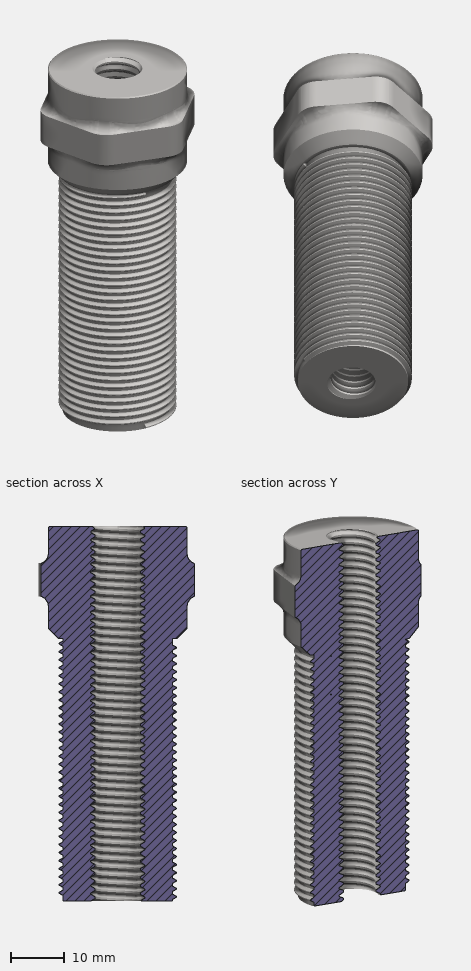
import cadquery as cq
import math

TOTAL_HEIGHT = 70.0
SHOULDER_Z = 49.0
HEAD_RADIUS = 13.0
SHOULDER_CHAMFER = 2.0
RIM_CHAMFER = 0.2

HEX_FLATS = 27.0
HEX_CORNER_RADIUS = 4.2
HEX_MIDDLE_Z = 60.0
HEX_HEIGHT = 6.2
HEX_CORNER_ANGLE = 20.0
HEX_FILLET = 1.85
SIDES = 6
SECTOR_ANGLE = 360.0 / SIDES

COLLAR_INNER_RADIUS = 6.0
COLLAR_MARGIN = 0.2
COLLAR_HALF_HEIGHT = HEX_HEIGHT / 2 + HEX_FILLET + COLLAR_MARGIN
COLLAR_LOW_Z = HEX_MIDDLE_Z - COLLAR_HALF_HEIGHT
COLLAR_HIGH_Z = HEX_MIDDLE_Z + COLLAR_HALF_HEIGHT
CORNER_SECTIONS = 5
FLAT_SECTIONS = 11
BULGE_DEPTH = 1.0
JOIN_TOLERANCE = 1e-4

PITCH = 1.5
THREAD_CREST_WIDTH = PITCH / 8
FLANK_HALF_ANGLE = 30.0
THREAD_OVERLAP = 0.3

SHANK_MAJOR_RADIUS = 11.0
SHANK_CORE_RADIUS = 10.3
SHANK_THREAD_FIRST_Z = 0.5
SHANK_TURNS = 32

BORE_RADIUS = 4.188
BORE_MAJOR_RADIUS = 5.0
BORE_CHAMFER_RADIUS = 4.65
BORE_THREAD_LAST_Z = 70.1
BORE_THREAD_LAST_ANGLE = 180.0

SHANK_TOP_Z = SHANK_TURNS * PITCH
SAMPLE_PITCHES = 3
HEAD_BORE_PITCHES = 13
BORE_TOP_Z = SHANK_TOP_Z + HEAD_BORE_PITCHES * PITCH

ORIGIN = cq.Vector(0, 0, 0)
Z_AXIS = cq.Vector(0, 0, 1)


def sew(faces):
    """Closed solid from faces that share their edges."""
    return cq.Solid.makeSolid(cq.Shell.makeShell(faces)).fix()


def is_level_at(face, heights):
    """True for a horizontal flat face lying at one of the heights."""
    if face.geomType() != "PLANE" or abs(face.normalAt().z) < 0.5:
        return False
    return any(abs(face.Center().z - height) < JOIN_TOLERANCE for height in heights)


def faces_without_ends(shape, *heights):
    """Faces of a piece, leaving out the cut faces where it meets its neighbours."""
    return [face for face in shape.Faces() if not is_level_at(face, heights)]


def is_bore_face(face):
    """True for a face of the bore or its thread."""
    return all(math.hypot(v.X, v.Y) < COLLAR_INNER_RADIUS for v in face.Vertices())


def between(z_low, z_high):
    """Slab of space between two heights, wider than the part."""
    slab = cq.Workplane("XY", origin=(0, 0, z_low)).circle(2 * HEAD_RADIUS).extrude(z_high - z_low)
    return slab.val()


def turned(points):
    """Solid of revolution about Z from (radius, z) points."""
    return cq.Workplane("XZ").polyline(points).close().revolve(360, (0, 0, 0), (0, 1, 0)).val()



def thread_turn(root_radius, tip_radius, first_z):
    """One turn of a trapezoidal helical ridge starting on the +X side."""
    buried_radius = root_radius - THREAD_OVERLAP
    half_tip = THREAD_CREST_WIDTH / 2
    half_root = half_tip + (tip_radius - root_radius) * math.tan(math.radians(FLANK_HALF_ANGLE))
    corners = [
        (buried_radius, -half_root),
        (root_radius, -half_root),
        (tip_radius, -half_tip),
        (tip_radius, half_tip),
        (root_radius, half_root),
        (buried_radius, half_root),
    ]
    helices = [
        cq.Wire.makeHelix(PITCH, PITCH, radius, center=cq.Vector(0, 0, first_z + height))
        for radius, height in corners
    ]
    faces = [cq.Face.makeRuledSurface(helices[i - 1], helices[i]) for i in range(len(helices))]
    for end_z in (first_z, first_z + PITCH):
        outline = [cq.Vector(radius, 0, end_z + height) for radius, height in corners]
        faces.append(cq.Face.makeFromWires(cq.Wire.makePolygon(outline, close=True)))
    return sew(faces)


def shank_turns(first, count):
    """Turns of the shank thread, numbered from the bottom."""
    turn = thread_turn(SHANK_CORE_RADIUS, SHANK_MAJOR_RADIUS, SHANK_THREAD_FIRST_Z)
    return [turn.translate(Z_AXIS * (PITCH * i)) for i in range(first, first + count)]


def bore_turns(z_low, z_high):
    """Turns of the bore's thread groove that cover the given heights."""
    turn = thread_turn(BORE_RADIUS, BORE_MAJOR_RADIUS, BORE_THREAD_LAST_Z - PITCH)
    turn = turn.rotate(ORIGIN, Z_AXIS, BORE_THREAD_LAST_ANGLE)
    first = max(math.floor((BORE_THREAD_LAST_Z - z_high) / PITCH) - 1, 0)
    last = math.ceil((BORE_THREAD_LAST_Z - z_low) / PITCH) + 1
    return [turn.translate(Z_AXIS * (-PITCH * i)) for i in range(first, last)]


def make_shank_sample():
    """Lowest stretch of the threaded shank with the threaded bore through it."""
    height = SAMPLE_PITCHES * PITCH
    tube = cq.Workplane("XY").circle(SHANK_CORE_RADIUS).circle(BORE_RADIUS).extrude(height).val()
    return tube.cut(*bore_turns(0, height)).fuse(*shank_turns(0, SAMPLE_PITCHES))



CORNER_CENTER_RADIUS = (HEX_FLATS / 2 - HEX_CORNER_RADIUS) / math.cos(math.radians(SECTOR_ANGLE / 2))


def corner_point(angle):
    """Point on the hexagon's corner arc that is centred on the X axis."""
    return (
        CORNER_CENTER_RADIUS + HEX_CORNER_RADIUS * math.cos(angle),
        HEX_CORNER_RADIUS * math.sin(angle),
    )


def spread(first, last, count):
    """Evenly spaced values from first to last."""
    return [first + (last - first) * i / (count - 1) for i in range(count)]


def collar_section(x, y):
    """Radial cross-section of the collar whose hexagon wall passes through (x, y).

    Above and below the wall, a fillet tangent to the head cylinder ends on the wall's rim.
    """
    wall_radius = math.hypot(x, y)
    half_height = HEX_HEIGHT / 2
    overhang = min(wall_radius - HEAD_RADIUS, HEX_FILLET)
    fillet_height = math.sqrt(HEX_FILLET**2 - (HEX_FILLET - overhang)**2)
    middle_angle = math.asin(fillet_height / HEX_FILLET) / 2
    middle_radius = HEAD_RADIUS + HEX_FILLET * (1 - math.cos(middle_angle))
    middle_height = half_height + fillet_height - HEX_FILLET * math.sin(middle_angle)

    def place(radius, z):
        return cq.Vector(radius * x / wall_radius, radius * y / wall_radius, z)

    def half_outline(side, end_z):
        """Edges from the inner wall to the hexagon wall; side is +1 above it and -1 below."""
        outer = place(HEAD_RADIUS, end_z)
        arc_start = place(HEAD_RADIUS, HEX_MIDDLE_Z + side * (half_height + fillet_height))
        arc_middle = place(middle_radius, HEX_MIDDLE_Z + side * middle_height)
        arc_end = place(wall_radius, HEX_MIDDLE_Z + side * half_height)
        return [
            cq.Edge.makeLine(place(COLLAR_INNER_RADIUS, end_z), outer),
            cq.Edge.makeLine(outer, arc_start),
            cq.Edge.makeThreePointArc(arc_start, arc_middle, arc_end),
        ]

    def upright(radius, z_low, z_high):
        return cq.Edge.makeLine(place(radius, z_low), place(radius, z_high))

    hex_wall = upright(wall_radius, HEX_MIDDLE_Z - half_height, HEX_MIDDLE_Z + half_height)
    inner_wall = upright(COLLAR_INNER_RADIUS, COLLAR_LOW_Z, COLLAR_HIGH_Z)
    upper = half_outline(1, COLLAR_HIGH_Z)
    lower = half_outline(-1, COLLAR_LOW_Z)
    return cq.Wire.assembleEdges(upper + [hex_wall] + lower + [inner_wall])


def loft_sections(points):
    """Piece of the collar whose hexagon wall passes through the points."""
    return cq.Solid.makeLoft([collar_section(x, y) for x, y in points])


def make_corner_middle(seam_angle):
    """Middle of a corner, where the fillets are plain tori that end inside the hexagon's rim."""
    x, y = corner_point(seam_angle)
    sweep = 2 * math.degrees(math.atan2(y, x))
    ring_part = cq.Solid.revolve(collar_section(x, -y), [], sweep, ORIGIN, Z_AXIS)
    inner_scale = 1 - BULGE_DEPTH / math.hypot(x, y)
    bulge = (
        cq.Workplane("XY", origin=(0, 0, HEX_MIDDLE_Z - HEX_HEIGHT / 2))
        .moveTo(inner_scale * x, -inner_scale * y)
        .lineTo(x, -y)
        .threePointArc(corner_point(0), (x, y))
        .lineTo(inner_scale * x, inner_scale * y)
        .close()
        .extrude(HEX_HEIGHT)
    )
    return ring_part.fuse(bulge.val()).clean()


def is_radial_joint(face):
    """True for a flat upright face lying in a plane through the axis."""
    if face.geomType() != "PLANE":
        return False
    center = face.Center()
    normal = face.normalAt()
    return abs(normal.z) < 0.5 and abs(normal.x * center.x + normal.y * center.y) < JOIN_TOLERANCE


def make_collar():
    """Ring of corners and flats, joined along radial planes."""
    arc_end = math.radians(SECTOR_ANGLE / 2)
    reach = HEAD_RADIUS + HEX_FILLET
    seam_angle = math.acos(
        (reach**2 - CORNER_CENTER_RADIUS**2 - HEX_CORNER_RADIUS**2)
        / (2 * CORNER_CENTER_RADIUS * HEX_CORNER_RADIUS)
    )
    corner_side = [corner_point(angle) for angle in spread(seam_angle, arc_end, CORNER_SECTIONS)]

    flat_start_x, flat_start_y = corner_point(arc_end)
    half_flat = HEX_FLATS / 2 * math.tan(arc_end - math.atan2(flat_start_y, flat_start_x))
    flat_side = [
        (
            HEX_FLATS / 2 * math.cos(arc_end) - offset * math.sin(arc_end),
            HEX_FLATS / 2 * math.sin(arc_end) + offset * math.cos(arc_end),
        )
        for offset in spread(-half_flat, half_flat, FLAT_SECTIONS)
    ]

    pieces = [
        make_corner_middle(seam_angle),
        loft_sections(corner_side),
        loft_sections([(x, -y) for x, y in corner_side]),
        loft_sections(flat_side),
    ]
    outer_faces = [face for piece in pieces for face in piece.Faces() if not is_radial_joint(face)]
    angles = [HEX_CORNER_ANGLE + side * SECTOR_ANGLE for side in range(SIDES)]
    return sew([face.rotate(ORIGIN, Z_AXIS, angle) for angle in angles for face in outer_faces])



def make_bore_top():
    """Space of the threaded bore above BORE_TOP_Z, with its entrance chamfer."""
    chamfer_z = TOTAL_HEIGHT - (BORE_CHAMFER_RADIUS - BORE_RADIUS)
    bore = turned([
        (0, BORE_TOP_Z - PITCH),
        (BORE_RADIUS, BORE_TOP_Z - PITCH),
        (BORE_RADIUS, chamfer_z),
        (BORE_CHAMFER_RADIUS, TOTAL_HEIGHT),
        (0, TOTAL_HEIGHT),
    ])
    threaded = bore.fuse(*bore_turns(BORE_TOP_Z, TOTAL_HEIGHT))
    return threaded.intersect(between(BORE_TOP_Z, TOTAL_HEIGHT + PITCH))


def make_head():
    """Everything above SHANK_TOP_Z, with the bore open only down to BORE_TOP_Z."""
    core = turned([
        (0, SHANK_TOP_Z - PITCH),
        (SHANK_CORE_RADIUS, SHANK_TOP_Z - PITCH),
        (SHANK_CORE_RADIUS, SHOULDER_Z),
        (HEAD_RADIUS - SHOULDER_CHAMFER, SHOULDER_Z),
        (HEAD_RADIUS, SHOULDER_Z + SHOULDER_CHAMFER),
        (HEAD_RADIUS, COLLAR_LOW_Z),
        (COLLAR_INNER_RADIUS, COLLAR_LOW_Z),
        (COLLAR_INNER_RADIUS, COLLAR_HIGH_Z),
        (HEAD_RADIUS, COLLAR_HIGH_Z),
        (HEAD_RADIUS, TOTAL_HEIGHT - RIM_CHAMFER),
        (HEAD_RADIUS - RIM_CHAMFER, TOTAL_HEIGHT),
        (0, TOTAL_HEIGHT),
    ])
    core = core.fuse(*shank_turns(SHANK_TURNS - 1, 1))
    core = core.intersect(between(SHANK_TOP_Z, TOTAL_HEIGHT + PITCH))
    return core.fuse(make_collar(), tol=JOIN_TOLERANCE).cut(make_bore_top())



def make_part():
    """Sew the bottom pitch, the repeated middle pitches and the head into one solid."""
    sample = make_shank_sample()
    bottom = sample.intersect(between(-PITCH, PITCH))
    middle = sample.intersect(between(PITCH, 2 * PITCH))

    faces = faces_without_ends(bottom, PITCH)
    faces += faces_without_ends(make_head(), SHANK_TOP_Z, BORE_TOP_Z)
    middle_faces = faces_without_ends(middle, PITCH, 2 * PITCH)
    bore_faces = [face for face in middle_faces if is_bore_face(face)]
    for level in range(SHANK_TURNS - 1 + HEAD_BORE_PITCHES):
        in_shank = level < SHANK_TURNS - 1
        level_faces = middle_faces if in_shank else bore_faces
        faces += [face.translate(Z_AXIS * (PITCH * level)) for face in level_faces]
    return sew(faces)


result = cq.Workplane(make_part())